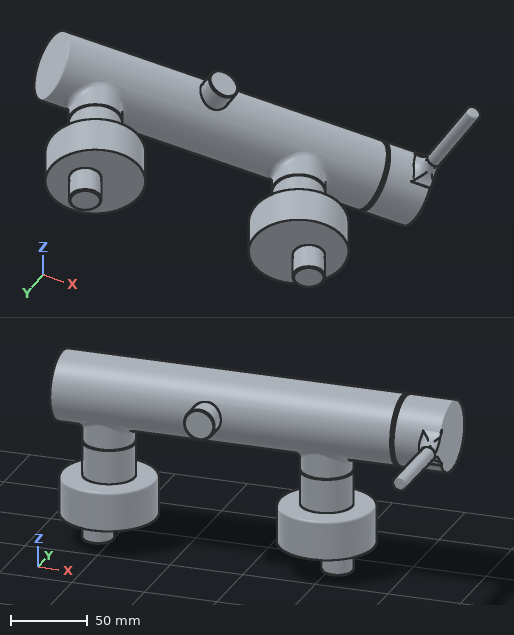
import cadquery as cq
import math

LENGTH = 269.15
DEPTH = 121.51
HEIGHT = 128.3
MARGIN = 1.0

BODY_R = 24.0
BODY_END_FILLET = 0.8
GROOVE_X = 234.7
GROOVE_WIDTH = 2.4
GROOVE_DEPTH = 0.6

CONNECTION_SPACING = 150.0
COVER_R = 32.5
COVER_TOP_Z = -58.5
COVER_BOTTOM_Z = -85.5
COVER_FILLET = 2.0
COLUMN_R = 17.5
COLUMN_FILLET = 4.0
COLUMN_JOINT_Z = -35.2
COLUMN_JOINT_WIDTH = 0.6
COLUMN_JOINT_DEPTH = 0.3
STUB_R = 10.5
STUB_OFFSET = 7.5
STUB_CHAMFER = 0.8
STUB_BOTTOM_Z = BODY_R - HEIGHT
LEFT_X = COVER_R
RIGHT_X = LEFT_X + CONNECTION_SPACING

OUTLET_R = 10.5
OUTLET_END_Y = -36.7
OUTLET_CHAMFER = 0.6
OUTLET_X = (LEFT_X + RIGHT_X) / 2

LEVER_R = 5.0
LEVER_X = LENGTH - LEVER_R
LEVER_Z = -0.4
LEVER_END_Y = COVER_R - DEPTH
LEVER_FILLET = 1.5
FLARE_HALF_HEIGHT = 12.5
FLARE_WIDTH = 11.7
FLARE_CORNER_R = 15.5
FLARE_CORNER_SLOPE = (1, 0.5)
FLARE_TIP_STEP = 0.15
FLARE_BASE_Y = -math.sqrt(BODY_R**2 - FLARE_HALF_HEIGHT**2)
FLARE_ARC_R = BODY_R * (FLARE_HALF_HEIGHT - LEVER_R) / (BODY_R - FLARE_HALF_HEIGHT)
FLARE_ARC_CENTRE_Z = LEVER_R + FLARE_ARC_R
FLARE_TIP_Y = -math.sqrt((BODY_R + FLARE_ARC_R) ** 2 - FLARE_ARC_CENTRE_Z**2)


def cylinder_z(x, radius, z_bottom, z_top):
    return cq.Workplane("XY", origin=(x, 0, z_bottom)).circle(radius).extrude(z_top - z_bottom)


def cylinder_front(x, z, radius, y_end):
    """Cylinder from the plane of the body axis towards -Y."""
    return cq.Workplane("XZ", origin=(x, 0, z)).circle(radius).extrude(-y_end)


def make_body():
    body = cq.Workplane("YZ").circle(BODY_R).extrude(LENGTH)
    return body.faces("<X or >X").edges().fillet(BODY_END_FILLET)


def make_body_groove():
    """Ring with a trapezoidal profile and 45 degree flanks."""
    return (
        cq.Workplane("XY")
        .moveTo(GROOVE_X, BODY_R)
        .lineTo(GROOVE_X + GROOVE_DEPTH, BODY_R - GROOVE_DEPTH)
        .lineTo(GROOVE_X + GROOVE_WIDTH - GROOVE_DEPTH, BODY_R - GROOVE_DEPTH)
        .lineTo(GROOVE_X + GROOVE_WIDTH, BODY_R)
        .close()
        .revolve(360, (0, 0, 0), (1, 0, 0))
    )


def add_columns(body):
    """Join both columns to the body with a fillet along each intersection."""
    for x in (LEFT_X, RIGHT_X):
        body = body.union(cylinder_z(x, COLUMN_R, COVER_TOP_Z, 0))
    below_axis = cq.selectors.BoxSelector(
        (LEFT_X - COLUMN_R - MARGIN, -BODY_R, -BODY_R - MARGIN),
        (RIGHT_X + COLUMN_R + MARGIN, BODY_R, -MARGIN),
        boundingbox=True,
    )
    return body.edges(below_axis).fillet(COLUMN_FILLET)


def make_column_joint(x):
    """Ring for the shallow joint groove around a column."""
    ring = cq.Workplane("XY", origin=(x, 0, COLUMN_JOINT_Z)).circle(COLUMN_R + MARGIN)
    return ring.circle(COLUMN_R - COLUMN_JOINT_DEPTH).extrude(COLUMN_JOINT_WIDTH)


def make_cover_and_stub(x, stub_offset):
    cover = cylinder_z(x, COVER_R, COVER_BOTTOM_Z, COVER_TOP_Z)
    cover = cover.faces(">Z").edges().fillet(COVER_FILLET)
    stub = cylinder_z(x + stub_offset, STUB_R, STUB_BOTTOM_Z, COVER_TOP_Z)
    stub = stub.faces("<Z").edges().chamfer(STUB_CHAMFER)
    return cover.union(stub)


def make_outlet():
    outlet = cylinder_front(OUTLET_X, 0, OUTLET_R, OUTLET_END_Y)
    return outlet.faces("<Y").edges().chamfer(OUTLET_CHAMFER)


def flare_side_profile():
    """Flare height in the YZ plane: arcs that blend from the body into the rod."""
    arc_angle = math.atan2(FLARE_BASE_Y - FLARE_TIP_Y, FLARE_ARC_CENTRE_Z - FLARE_HALF_HEIGHT)
    middle_y = FLARE_TIP_Y + FLARE_ARC_R * math.sin(arc_angle / 2)
    middle_z = FLARE_ARC_CENTRE_Z - FLARE_ARC_R * math.cos(arc_angle / 2)
    return (
        cq.Workplane("YZ", origin=(LEVER_X - 2 * FLARE_WIDTH, 0, LEVER_Z))
        .moveTo(FLARE_BASE_Y, -FLARE_HALF_HEIGHT)
        .lineTo(FLARE_BASE_Y, FLARE_HALF_HEIGHT)
        .threePointArc((middle_y, middle_z), (FLARE_TIP_Y, LEVER_R))
        .lineTo(FLARE_TIP_Y, -LEVER_R)
        .threePointArc((middle_y, -middle_z), (FLARE_BASE_Y, -FLARE_HALF_HEIGHT))
        .close()
    )


def flare_top_profile():
    """Flare width in the XY plane: an elliptical sweep on the left, flush with the right end."""
    rise = -BODY_R - FLARE_TIP_Y
    spread = FLARE_WIDTH - LEVER_R
    middle = (
        LEVER_X - FLARE_WIDTH + spread * math.sin(math.pi / 4),
        -BODY_R - rise * (1 - math.cos(math.pi / 4)),
    )
    return (
        cq.Workplane("XY", origin=(0, 0, LEVER_Z - 2 * FLARE_HALF_HEIGHT))
        .moveTo(LENGTH, FLARE_TIP_Y)
        .lineTo(LEVER_X - LEVER_R, FLARE_TIP_Y)
        .spline([middle, (LEVER_X - FLARE_WIDTH, -BODY_R)], tangents=[(0, 1), (-1, 0)], includeCurrent=True)
        .lineTo(LEVER_X - FLARE_WIDTH, FLARE_BASE_Y)
        .lineTo(LENGTH, FLARE_BASE_Y)
        .close()
    )


def make_flare_rounding():
    """Trumpet around the lever axis that rounds the corners of the flare down to the rod."""
    return (
        cq.Workplane("XY", origin=(LEVER_X, 0, LEVER_Z))
        .moveTo(0, FLARE_TIP_Y)
        .lineTo(LEVER_R + FLARE_TIP_STEP, FLARE_TIP_Y)
        .spline([(FLARE_CORNER_R, FLARE_BASE_Y)], tangents=[(0, 1), FLARE_CORNER_SLOPE], includeCurrent=True)
        .lineTo(0, FLARE_BASE_Y)
        .close()
        .revolve(360, (0, 0, 0), (0, 1, 0))
    )


def make_lever_flare():
    """Concave root that blends from a rounded rectangle on the body to the round rod."""
    flare = flare_side_profile().extrude(4 * FLARE_WIDTH)
    flare = flare.intersect(flare_top_profile().extrude(4 * FLARE_HALF_HEIGHT))
    return flare.intersect(make_flare_rounding())


def make_lever():
    rod = cylinder_front(LEVER_X, LEVER_Z, LEVER_R, LEVER_END_Y)
    rod = rod.faces("<Y").edges().fillet(LEVER_FILLET)
    return rod.union(make_lever_flare())


result = add_columns(make_body())
result = result.cut(make_body_groove())
for column_x, offset in ((LEFT_X, -STUB_OFFSET), (RIGHT_X, STUB_OFFSET)):
    result = result.cut(make_column_joint(column_x))
    result = result.union(make_cover_and_stub(column_x, offset))
result = result.union(make_outlet()).union(make_lever())